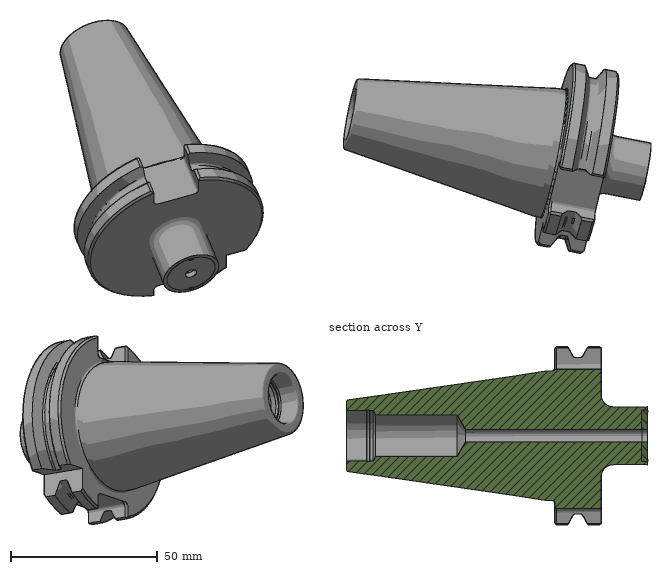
import cadquery as cq
import math

taper_length = 68.4
flange_start = 71.2
flange_end = 87.2
stub_end = 103.0

gauge_radius = 44.5 / 2
taper_half_angle = math.atan(7 / 48)
nose_radius = gauge_radius - taper_length * math.tan(taper_half_angle)
nose_fillet = 0.8
neck_fillet = 0.6

flange_radius = 63.5 / 2
flange_chamfer = 0.7
groove_centre = 79.2
groove_width = 7.1
groove_floor_radius = 28.0
groove_flank_angle = math.radians(30)
groove_fillet = 0.7

slot_half_width = 8.1
slot_corner_radius = 1.8
upper_slot_floor = 22.8
lower_slot_floor = 24.9
slot_edge_chamfer = 0.9
slot_face_chamfer_depth = 0.7
rim_chamfer_slope = 0.5
cut_clearance = 1
notch_offset = 18.2

stub_radius = 20.0 / 2
stub_fillet = 4.0

bore_radius = 17.0 / 2
bore_mouth_fillet = 0.7
bore_depth = 9.2
relief_radius = 17.5 / 2
relief_start = 6.9
relief_end = 8.2
core_radius = 14.0 / 2
core_length = 27.9
cone_slope = math.tan(math.radians(30))
through_radius = 4.0 / 2

disc_radius = 17.5 / 2
disc_thickness = 2.0
lug_width = 1.4
lug_height = 0.6
lug_projection = 0.2


def revolve_about_x(profile):
    """Revolve a closed profile of (axial, radial) points about the X axis."""
    return profile.close().revolve(360, (0, 0, 0), (1, 0, 0))


def holder_blank():
    """Taper, grooved flange and stub as one turned solid."""
    nose_tangent = nose_fillet * math.tan((math.pi / 2 - taper_half_angle) / 2)
    floor_tangent = groove_fillet * math.tan((math.pi / 2 - groove_flank_angle) / 2)
    flank_dx = floor_tangent * math.sin(groove_flank_angle)
    flank_dr = floor_tangent * math.cos(groove_flank_angle)
    flank_run = (flange_radius - groove_floor_radius) * math.tan(groove_flank_angle)
    groove_left = groove_centre - groove_width / 2
    groove_right = groove_centre + groove_width / 2
    profile = (
        cq.Workplane("XY")
        .moveTo(0, 0)
        .lineTo(0, nose_radius - nose_tangent)
        .tangentArcPoint(
            (
                nose_tangent * math.cos(taper_half_angle),
                nose_radius + nose_tangent * math.sin(taper_half_angle),
            ),
            relative=False,
        )
        .lineTo(taper_length, gauge_radius)
        .lineTo(flange_start - neck_fillet, gauge_radius)
        .tangentArcPoint((flange_start, gauge_radius + neck_fillet), relative=False)
        .lineTo(flange_start, flange_radius - flange_chamfer)
        .lineTo(flange_start + flange_chamfer, flange_radius)
        .lineTo(groove_left, flange_radius)
        .lineTo(groove_left + flank_run - flank_dx, groove_floor_radius + flank_dr)
        .tangentArcPoint((groove_left + flank_run + floor_tangent, groove_floor_radius), relative=False)
        .lineTo(groove_right - flank_run - floor_tangent, groove_floor_radius)
        .tangentArcPoint(
            (groove_right - flank_run + flank_dx, groove_floor_radius + flank_dr), relative=False
        )
        .lineTo(groove_right, flange_radius)
        .lineTo(flange_end - flange_chamfer, flange_radius)
        .lineTo(flange_end, flange_radius - flange_chamfer)
        .lineTo(flange_end, stub_radius + stub_fillet)
        .tangentArcPoint((flange_end + stub_fillet, stub_radius), relative=False)
        .lineTo(stub_end, stub_radius)
        .lineTo(stub_end, 0)
    )
    return revolve_about_x(profile)


def stepped_bore():
    """Bore with a rounded mouth, relief groove, conical steps and the through hole."""
    relief_depth = relief_radius - bore_radius
    core_start = bore_depth + (bore_radius - core_radius) * cone_slope
    core_end = core_start + core_length
    cone_end = core_end + (core_radius - through_radius) * cone_slope
    profile = (
        cq.Workplane("XY")
        .moveTo(0, 0)
        .lineTo(0, bore_radius + bore_mouth_fillet)
        .radiusArc((bore_mouth_fillet, bore_radius), -bore_mouth_fillet)
        .lineTo(relief_start, bore_radius)
        .lineTo(relief_start + relief_depth, relief_radius)
        .lineTo(relief_end - relief_depth, relief_radius)
        .lineTo(relief_end, bore_radius)
        .lineTo(bore_depth, bore_radius)
        .lineTo(core_start, core_radius)
        .lineTo(core_end, core_radius)
        .lineTo(cone_end, through_radius)
        .lineTo(stub_end, through_radius)
        .lineTo(stub_end, 0)
    )
    return revolve_about_x(profile)


def slot_section(x, half_width, floor):
    """Wire of a slot across X: flat floor, rounded floor corners, open beyond the rim."""
    wall = half_width - slot_corner_radius
    slot_top = flange_radius + cut_clearance
    return (
        cq.Workplane("YZ", origin=(x, 0, 0))
        .moveTo(-half_width, slot_top)
        .lineTo(-half_width, floor + slot_corner_radius)
        .tangentArcPoint((-wall, floor), relative=False)
        .lineTo(wall, floor)
        .tangentArcPoint((half_width, floor + slot_corner_radius), relative=False)
        .lineTo(half_width, slot_top)
        .close()
    )


def driving_slot(floor):
    """Cutter for a slot at +Z, chamfered at the taper-side face and the rim."""
    flange_width = flange_end - flange_start
    wide_half_width = slot_half_width + slot_edge_chamfer
    channel = slot_section(flange_start, slot_half_width, floor).extrude(flange_width)
    face_chamfer = cq.Workplane(
        cq.Solid.makeLoft(
            [
                slot_section(flange_start, wide_half_width, floor).wire().val(),
                slot_section(flange_start + slot_face_chamfer_depth, slot_half_width, floor).wire().val(),
            ],
            True,
        )
    )
    rim_height = math.sqrt(flange_radius**2 - wide_half_width**2)
    rim_chamfer = (
        cq.Workplane("YZ", origin=(flange_start, 0, 0))
        .polyline(
            [
                (0, rim_height - wide_half_width * rim_chamfer_slope),
                (wide_half_width, rim_height),
                (wide_half_width, flange_radius),
                (-wide_half_width, flange_radius),
                (-wide_half_width, rim_height),
            ]
        )
        .close()
        .extrude(flange_width)
    )
    return channel.union(face_chamfer).union(rim_chamfer)


def orientation_notch():
    """Square corner cut through the flange on the +Y, -Z side."""
    return (
        cq.Workplane("XY")
        .box(flange_end - flange_start, flange_radius, flange_radius, centered=False)
        .translate((flange_start, notch_offset, -notch_offset - flange_radius))
    )


def lug_disc():
    """Flush disc with a through hole and two opposite lugs at its rim."""
    seat = cq.Workplane("YZ", origin=(stub_end - disc_thickness, 0, 0))
    rim = seat.circle(disc_radius).extrude(disc_thickness + lug_projection)
    disc = seat.circle(disc_radius).extrude(disc_thickness)
    for side in (1, -1):
        lug_block = (
            cq.Workplane("XY")
            .box(disc_thickness + lug_projection, lug_width, lug_height, centered=(False, True, True))
            .translate((stub_end - disc_thickness, 0, side * (disc_radius - lug_height / 2)))
        )
        disc = disc.union(lug_block.intersect(rim))
    return disc.cut(seat.circle(through_radius).extrude(disc_thickness))


def holder():
    """Tool holder with its bore, slots, notch and the recess for the disc."""
    recess = cq.Workplane("YZ", origin=(stub_end - disc_thickness, 0, 0)).circle(disc_radius)
    lower_slot = driving_slot(lower_slot_floor).rotate((0, 0, 0), (1, 0, 0), 180)
    return (
        holder_blank()
        .cut(stepped_bore())
        .cut(driving_slot(upper_slot_floor))
        .cut(lower_slot)
        .cut(orientation_notch())
        .cut(recess.extrude(disc_thickness))
    )


holder_body = holder()
disc_body = lug_disc()
result = cq.Compound.makeCompound([holder_body.val(), disc_body.val()])